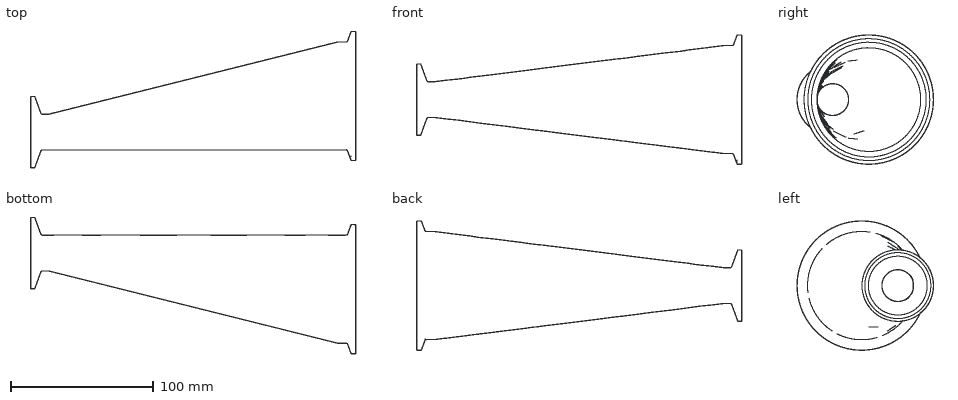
import cadquery as cq
import math

total_length = 228.5
ferrule_length = 12.8
wall = 1.5
taper_angle = 20.0

small_tube_diameter = 25.4
small_flange_diameter = 50.3
small_rim_width = 3.0
small_groove_diameter = 44.0

large_tube_diameter = 76.1
large_flange_diameter = 91.0
large_rim_width = 3.5
large_groove_diameter = 83.2

groove_radius = 1.25
rim_round = 0.7
neck_fillet = 1.0

axis_offset = (large_tube_diameter - small_tube_diameter) / 2


def ferrule(tube_diameter, flange_diameter, rim_width, groove_diameter):
    """Bored clamp ferrule on the X axis, with its flange face at X = 0."""
    tube_radius = tube_diameter / 2
    bore_radius = tube_radius - wall
    flange_radius = flange_diameter / 2
    groove_center = groove_diameter / 2
    taper_depth = (flange_radius - tube_radius) * math.tan(math.radians(taper_angle))
    taper_end = rim_width + taper_depth

    body = (
        cq.Workplane("XY")
        .moveTo(0, bore_radius)
        .lineTo(0, flange_radius)
        .lineTo(rim_width, flange_radius)
        .lineTo(taper_end, tube_radius)
        .lineTo(ferrule_length, tube_radius)
        .lineTo(ferrule_length, bore_radius)
        .close()
        .revolve(360, (0, 0, 0), (1, 0, 0))
    )
    rim_corners = cq.selectors.RadiusNthSelector(-1)
    body = body.edges("%CIRCLE").edges(rim_corners).fillet(rim_round)

    neck_corner = cq.selectors.BoxSelector(
        (taper_end - neck_fillet / 2, -flange_radius, -flange_radius),
        (taper_end + neck_fillet / 2, flange_radius, flange_radius),
        boundingbox=True,
    )
    body = body.edges(neck_corner).fillet(neck_fillet)

    groove = (
        cq.Workplane("XY")
        .center(0, groove_center)
        .circle(groove_radius)
        .revolve(360, (0, -groove_center, 0), (1, -groove_center, 0))
    )
    return body.cut(groove)


def eccentric_cone(small_diameter, large_diameter):
    """Solid cone between the two ferrules, leaning toward +Y."""
    cone_length = total_length - 2 * ferrule_length
    return (
        cq.Workplane("YZ", origin=(ferrule_length, 0, 0))
        .circle(small_diameter / 2)
        .workplane(offset=cone_length)
        .center(axis_offset, 0)
        .circle(large_diameter / 2)
        .loft(ruled=True)
    )


small_ferrule = ferrule(
    small_tube_diameter,
    small_flange_diameter,
    small_rim_width,
    small_groove_diameter,
)

large_ferrule = (
    ferrule(
        large_tube_diameter,
        large_flange_diameter,
        large_rim_width,
        large_groove_diameter,
    )
    .mirror("YZ")
    .translate((total_length, axis_offset, 0))
)

outer_cone = eccentric_cone(small_tube_diameter, large_tube_diameter)
inner_cone = eccentric_cone(small_tube_diameter - 2 * wall, large_tube_diameter - 2 * wall)
reducer = outer_cone.cut(inner_cone)

result = small_ferrule.union(reducer).union(large_ferrule)